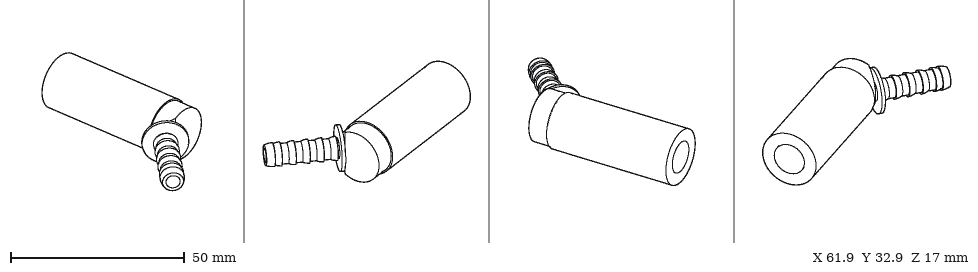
import cadquery as cq
import math

body_radius = 17.0 / 2
body_length = 39.45
collar_radius = 16.0 / 2
collar_end = 45.65
socket_radius = 9.6 / 2
socket_depth = 29.65

barb_angle = 45.0
elbow_x = 37.5
passage_radius = 2.05

seat_distance = 8.45
seat_gap = 0.5
flange_radius = 13.5 / 2
flange_thickness = 1.05
flange_to_barb = 0.5
stem_radius = 3.0
crest_radius = 3.5
ridge_count = 5
ridge_pitch = 4.1
ridge_length = ridge_pitch / 2
tip_length = 2.5

flange_start = seat_distance + seat_gap
first_ridge = flange_start + flange_thickness + flange_to_barb
tip_start = first_ridge + (ridge_count - 1) * ridge_pitch + ridge_length
barb_end = tip_start + tip_length

barb_direction = cq.Vector(math.cos(math.radians(barb_angle)), -math.sin(math.radians(barb_angle)), 0)
elbow = cq.Vector(elbow_x, 0, 0)


def barb_cylinder(start, length, radius):
    """Cylinder on the barb axis, starting at a distance from the elbow."""
    return cq.Workplane(cq.Solid.makeCylinder(radius, length, elbow + barb_direction * start, barb_direction))


def body_cylinder(length, radius):
    """Cylinder on the body axis, starting at the open end."""
    return cq.Workplane("YZ").circle(radius).extrude(length)


def ridge(start, length):
    """Barb ridge: a square shoulder at the crest, rounding down to the stem at its outer end."""
    drop = crest_radius - stem_radius
    flank_radius = (length**2 + drop**2) / (2 * drop)
    half_angle = math.asin(length / flank_radius) / 2
    mid_radius = crest_radius - flank_radius * (1 - math.cos(half_angle))
    mid_length = flank_radius * math.sin(half_angle)
    profile_plane = cq.Plane(
        origin=elbow + barb_direction * start,
        xDir=barb_direction,
        normal=(0, 0, 1),
    )
    return (
        cq.Workplane(profile_plane)
        .lineTo(0, crest_radius)
        .threePointArc((mid_length, mid_radius), (length, stem_radius))
        .lineTo(length, 0)
        .close()
        .revolve(360, (0, 0, 0), (1, 0, 0))
    )


def make_body():
    """Stepped cylinder with a flat seat square to the barb axis."""
    body = body_cylinder(body_length, body_radius).union(body_cylinder(collar_end, collar_radius))
    cutter_size = collar_end
    beyond_seat = barb_cylinder(seat_distance, cutter_size, cutter_size)
    return body.cut(beyond_seat)


def make_barb():
    """Stem with a flange, evenly spaced ridges and a longer ridge at the tip."""
    barb = barb_cylinder(0, barb_end, stem_radius)
    barb = barb.union(barb_cylinder(flange_start, flange_thickness, flange_radius))
    for index in range(ridge_count):
        barb = barb.union(ridge(first_ridge + index * ridge_pitch, ridge_length))
    return barb.union(ridge(tip_start, tip_length))


def make_passage():
    """Bore of constant radius, mitred at the elbow, from the socket to the barb tip."""
    path = cq.Workplane("XY").polyline([cq.Vector(0, 0, 0), elbow, elbow + barb_direction * barb_end])
    return cq.Workplane("YZ").circle(passage_radius).sweep(path, transition="right")


socket = body_cylinder(socket_depth, socket_radius)
result = make_body().union(make_barb()).cut(socket).cut(make_passage())